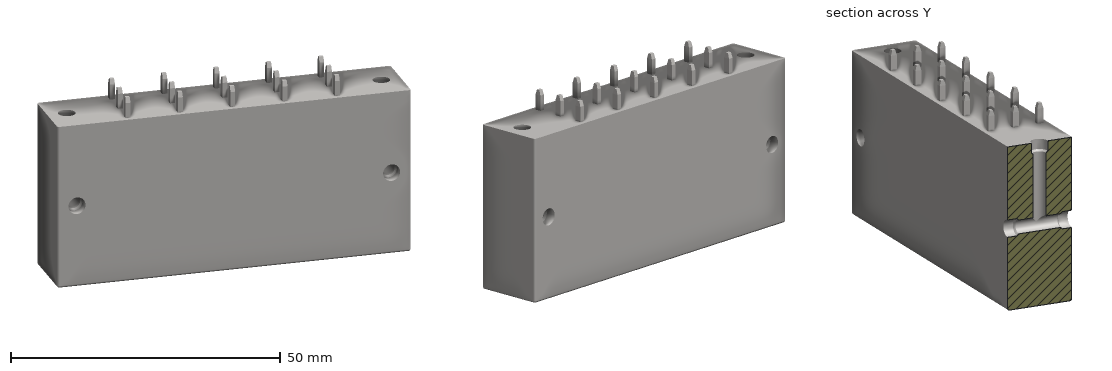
import cadquery as cq

width = 13.4
length = 68.55
body_height = 32.0
edge_radius = 0.4

mouth_diameter = 3.3
mouth_depth = 2.0
core_diameter = 2.6
mouth_radius = mouth_diameter / 2
core_radius = core_diameter / 2
taper_height = mouth_radius - core_radius
hole_offset = 30.5
cross_hole_height = body_height / 2

overall_height = 36.0
pin_width_x = 1.2
pin_width_y = 0.95
tip_width_x = 0.6
tip_width_y = 0.8
tip_height = 1.0
pin_columns = 3
pin_rows = 5
column_pitch = 5.1
row_pitch = 2 * column_pitch
pin_embed = 0.7


def make_housing():
    """Block with rounded vertical and bottom edges and a sharp top rim."""
    block = cq.Workplane("XY").box(width, length, body_height, centered=(True, True, False))
    return block.edges("|Z or <Z").fillet(edge_radius)


def revolve_about_z(points):
    """Solid of revolution from a closed (radius, z) outline."""
    return cq.Workplane("XZ").polyline(points).close().revolve(360, (0, 0, 0), (0, 1, 0))


def make_top_hole():
    """Cutter for a stepped hole from the top face down to the cross hole axis."""
    mouth_floor = body_height - mouth_depth
    core_top = mouth_floor - taper_height
    return revolve_about_z([
        (0, body_height),
        (mouth_radius, body_height),
        (mouth_radius, mouth_floor),
        (core_radius, core_top),
        (core_radius, cross_hole_height),
        (0, cross_hole_height),
    ])


def make_cross_hole():
    """Cutter for a through hole along X, stepped alike from both side faces."""
    half_width = width / 2
    mouth_floor = half_width - mouth_depth
    core_end = mouth_floor - taper_height
    cutter = revolve_about_z([
        (0, half_width),
        (mouth_radius, half_width),
        (mouth_radius, mouth_floor),
        (core_radius, core_end),
        (core_radius, -core_end),
        (mouth_radius, -mouth_floor),
        (mouth_radius, -half_width),
        (0, -half_width),
    ])
    cutter = cutter.rotate((0, 0, 0), (0, 1, 0), 90)
    return cutter.translate((0, 0, cross_hole_height))


def make_pin():
    """Pin with a tapered tip, rooted just below the top face."""
    shoulder = overall_height - tip_height
    root = body_height - pin_embed
    shank = cq.Workplane("XY").workplane(offset=root).rect(pin_width_x, pin_width_y)
    shank = shank.extrude(shoulder - root)
    tip = cq.Workplane("XY").workplane(offset=shoulder).rect(pin_width_x, pin_width_y)
    tip = tip.workplane(offset=tip_height).rect(tip_width_x, tip_width_y).loft()
    return shank.union(tip)


result = make_housing()

for y in (-hole_offset, hole_offset):
    result = result.cut(make_cross_hole().translate((0, y, 0)))
    result = result.cut(make_top_hole().translate((0, y, 0)))

pin = make_pin()
for column in range(pin_columns):
    x = (column - (pin_columns - 1) / 2) * column_pitch
    for row in range(pin_rows):
        y = (row - (pin_rows - 1) / 2) * row_pitch
        result = result.union(pin.translate((x, y, 0)))